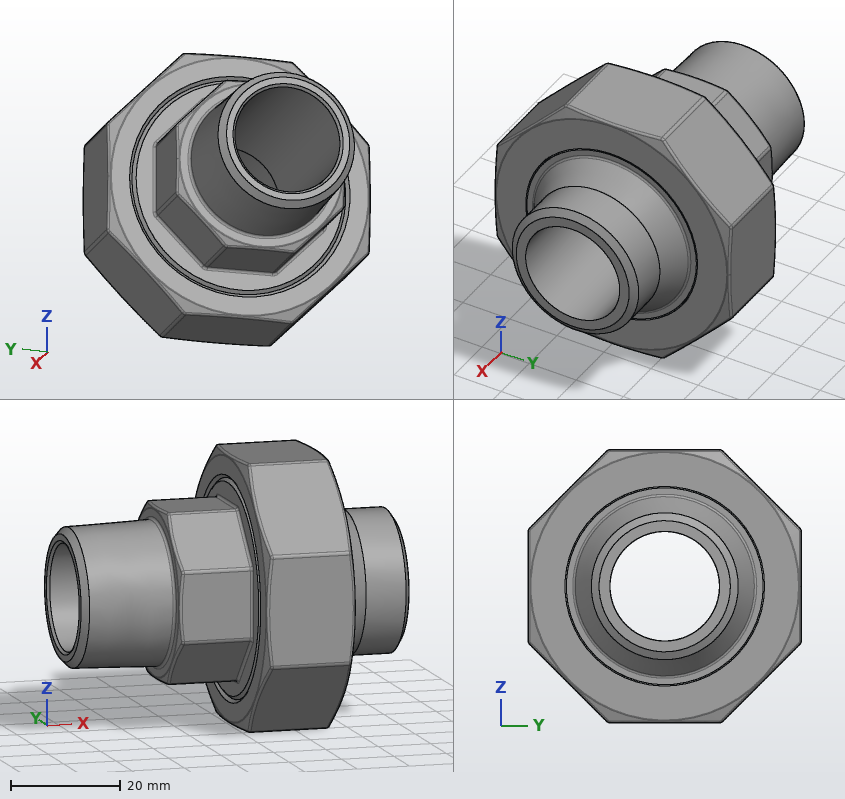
import cadquery as cq
import math

total_length = 62.5
nut_start = 31.5
nut_length = 17.0
nut_end = nut_start + nut_length
wrench_start = 17.5
joint_face = 40.0
lip_start = 44.0

bore_diameter = 20.0
thread_diameter = 40.75
nut_mouth_diameter = 42.0
flange_rim_diameter = 39.5
lip_diameter = 36.5
collar_diameter = 36.0
pipe_diameter = 26.9
pipe_tip_diameter = 24.0
spigot_root_diameter = 27.0

sides = 8
nut_across_flats = 50.0
wrench_across_flats = 32.0
corner_radius = 1.0
bevel_inset = 0.45
bevel_angle = 20.0
small_radius = 0.5

pipe_taper = 1 / 16
tip_chamfer_length = 1.25
tip_chamfer_depth = 1.25
bore_chamfer = 0.5

pipe_start = 53.9
weld_chamfer_length = 1.0
cone_angle = 30.0


def revolved(profile):
    """Full turn of a closed (x, radius) profile about the X axis."""
    return cq.Workplane("XY").polyline(profile).close().revolve(360, (0, 0, 0), (1, 0, 0))


def bore(start, end, diameter):
    """Round cutter along X between two positions."""
    return cq.Workplane("YZ").workplane(offset=start).circle(diameter / 2).extrude(end - start)


def octagon_bar(start, end, across_flats, bevel_right):
    """Octagonal bar along X with rounded corners and softened conical bevels at its ends."""
    half_side_angle = math.pi / sides
    corner_circle = across_flats / math.cos(half_side_angle)
    bar = (
        cq.Workplane("YZ")
        .workplane(offset=start)
        .transformed(rotate=(0, 0, math.degrees(half_side_angle)))
        .polygon(sides, corner_circle)
        .extrude(end - start)
        .edges("|X")
        .fillet(corner_radius)
    )
    face_radius = across_flats / 2 - bevel_inset
    envelope_radius = corner_circle / 2
    bevel_length = (envelope_radius - face_radius) * math.tan(math.radians(bevel_angle))
    profile = [(start, 0), (start, face_radius), (start + bevel_length, envelope_radius)]
    if bevel_right:
        profile += [(end - bevel_length, envelope_radius), (end, face_radius), (end, 0)]
    else:
        profile += [(end, envelope_radius), (end, 0)]
    beveled = bar.intersect(revolved(profile))
    return beveled.faces("%CONE").edges("not %LINE").fillet(small_radius)


def fillet_root(body, position):
    """Fillet the root of the shape that rises from the ring-shaped face at a position along X."""
    ring_face = body.faces(cq.NearestToPointSelector((position, 0, 0))).val()
    root_edges = ring_face.innerWires()[0].Edges()
    return body.newObject(root_edges).fillet(small_radius)


def make_nut():
    """Octagonal nut whose lip holds the flange of the weld end."""
    nut = octagon_bar(nut_start, nut_end, nut_across_flats, bevel_right=True)
    mouth_depth = (nut_mouth_diameter - thread_diameter) / 2
    mouth = revolved([
        (nut_start, 0),
        (nut_start, nut_mouth_diameter / 2),
        (nut_start + mouth_depth, thread_diameter / 2),
        (nut_start + mouth_depth, 0),
    ])
    thread_bore = bore(nut_start, lip_start, thread_diameter)
    lip_bore = bore(lip_start, nut_end, lip_diameter)
    return nut.cut(mouth).cut(thread_bore).cut(lip_bore)


def make_threaded_end():
    """Tapered spigot, small octagon and the flange that goes into the nut."""
    wrench = octagon_bar(wrench_start, nut_start, wrench_across_flats, bevel_right=False)
    rim_chamfer = (thread_diameter - flange_rim_diameter) / 2
    flange = revolved([
        (nut_start, 0),
        (nut_start, flange_rim_diameter / 2),
        (nut_start + rim_chamfer, thread_diameter / 2),
        (joint_face, thread_diameter / 2),
        (joint_face, 0),
    ])
    root_radius = spigot_root_diameter / 2
    taper_length = wrench_start - tip_chamfer_length
    tip_radius = root_radius - taper_length * pipe_taper / 2
    spigot = revolved([
        (0, 0),
        (0, tip_radius - tip_chamfer_depth),
        (tip_chamfer_length, tip_radius),
        (wrench_start, root_radius),
        (wrench_start, 0),
    ])
    body = wrench.union(flange).union(spigot)
    body = fillet_root(body, nut_start)
    body = fillet_root(body, wrench_start)
    bore_radius = bore_diameter / 2
    bore_mouth = revolved([
        (0, 0), (0, bore_radius + bore_chamfer), (bore_chamfer, bore_radius), (bore_chamfer, 0)
    ])
    return body.cut(bore(0, joint_face, bore_diameter)).cut(bore_mouth)


def make_weld_end():
    """Pipe stub with a cone, a collar and a flange held inside the nut."""
    pipe_radius = pipe_diameter / 2
    cone_radius = pipe_radius + (pipe_start - nut_end) * math.tan(math.radians(cone_angle))
    body = revolved([
        (joint_face, 0),
        (joint_face, thread_diameter / 2),
        (lip_start, thread_diameter / 2),
        (lip_start, collar_diameter / 2),
        (nut_end, collar_diameter / 2),
        (nut_end, cone_radius),
        (pipe_start, pipe_radius),
        (total_length - weld_chamfer_length, pipe_radius),
        (total_length, pipe_tip_diameter / 2),
        (total_length, 0),
    ])
    body = fillet_root(body, nut_end)
    return body.cut(bore(joint_face, total_length, bore_diameter))


nut = make_nut()
threaded_end = make_threaded_end()
weld_end = make_weld_end()

result = cq.Compound.makeCompound([nut.val(), threaded_end.val(), weld_end.val()])